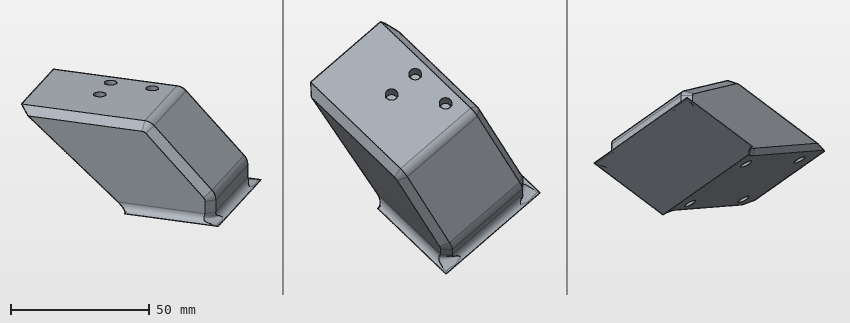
import cadquery as cq
import math

length = 77.67
height = 35.0
base_width = 47.0

slant_angle = 40.0
slope_angle = 45.0
slope_top_x = 49.5
bend_radius = 5.0
edge_chamfer = 3.0
slant_chamfer = 2.0

flare_radius = 3.0

facet_setbacks = (
    (0, 3.0, 3.0),
    (26, 3.5, 3.6),
    (48, 5.9, 3.9),
    (60, 6.6, 3.2),
    (72, 6.2, 1.9),
    (82, 4.1, 0.8),
    (90, 0.1, 0.1),
)
facet_overshoot = 0.2

hole_diameter = 4.5
hole_depth = 5.0
top_hole_x = 23.8
top_hole_y = 12.2
top_hole_pitch_x = 16.0
top_hole_pitch_y = 11.8
slant_hole_columns_y = (-16.1, 12.2)
slant_hole_rows_z = (5.4, 28.8)

slant_rad = math.radians(slant_angle)
wall_x = length - flare_radius
half_base = base_width / 2
half_body = half_base - flare_radius
slope_bottom_z = height - (wall_x - slope_top_x) * math.tan(math.radians(slope_angle))


def slant_x(z):
    """X of the slanted face at height z."""
    return (height - z) / math.tan(slant_rad)


def flare_spread(angle):
    """How far the flare reaches out at an angle down its arc."""
    return flare_radius * (1 - math.cos(angle))


def flare_height(angle):
    """Height of the flare above the base at an angle down its arc."""
    return flare_radius * (1 - math.sin(angle))


def make_block():
    outline = [
        (0, height),
        (slant_x(0), 0),
        (wall_x, 0),
        (wall_x, slope_bottom_z),
        (slope_top_x, height),
    ]
    block = (
        cq.Workplane("XZ", origin=(0, half_body, 0))
        .polyline(outline)
        .close()
        .extrude(2 * half_body)
    )
    for x, z in ((slope_top_x, height), (wall_x, slope_bottom_z)):
        block = block.edges(cq.NearestToPointSelector((x, 0, z))).fillet(bend_radius)
    for side in (-1, 1):
        top_edge_middle = (slope_top_x / 2, side * half_body, height)
        block = block.edges(cq.NearestToPointSelector(top_edge_middle)).chamfer(edge_chamfer)
    return block


def make_flare():
    mid_spread = flare_spread(math.pi / 4)
    mid_height = flare_height(math.pi / 4)
    lengthwise = (
        cq.Workplane("XZ", origin=(0, half_base, 0))
        .moveTo(slant_x(flare_radius), flare_radius)
        .lineTo(slant_x(0), 0)
        .lineTo(length, 0)
        .threePointArc((wall_x + mid_spread, mid_height), (wall_x, flare_radius))
        .close()
        .extrude(base_width)
    )
    crosswise = (
        cq.Workplane("YZ")
        .moveTo(-half_base, 0)
        .lineTo(half_base, 0)
        .threePointArc((half_body + mid_spread, mid_height), (half_body, flare_radius))
        .lineTo(-half_body, flare_radius)
        .threePointArc((-half_body - mid_spread, mid_height), (-half_base, 0))
        .close()
        .extrude(length)
    )
    return lengthwise.intersect(crosswise)


def facet_rails():
    """Both border curves of the +Y end corner facet, carried slightly past the flare."""
    end_points = []
    side_points = []
    for degrees, end_setback, side_setback in facet_setbacks:
        angle = math.radians(degrees)
        corner_x = wall_x + flare_spread(angle)
        corner_y = half_body + flare_spread(angle)
        reach_x = facet_overshoot * side_setback
        reach_y = facet_overshoot * end_setback
        z = flare_height(angle)
        end_points.append(cq.Vector(corner_x + reach_x, corner_y - end_setback - reach_y, z))
        side_points.append(cq.Vector(corner_x - side_setback - reach_x, corner_y + reach_y, z))
    return cq.Edge.makeSpline(end_points), cq.Edge.makeSpline(side_points)


def make_corner_cutter():
    """Solid outside the +Y end corner facet, closed by an upright line clear of the base."""
    end_rail, side_rail = facet_rails()
    outer_x = length + flare_radius
    outer_y = half_base + flare_radius
    outer_rail = cq.Edge.makeLine(
        cq.Vector(outer_x, outer_y, flare_radius),
        cq.Vector(outer_x, outer_y, 0),
    )
    rails = (end_rail, side_rail, outer_rail)
    upper_triangle = cq.Wire.makePolygon([rail.startPoint() for rail in rails], close=True)
    lower_triangle = cq.Wire.makePolygon([rail.endPoint() for rail in rails], close=True)
    faces = [
        cq.Face.makeRuledSurface(end_rail, side_rail),
        cq.Face.makeRuledSurface(side_rail, outer_rail),
        cq.Face.makeRuledSurface(outer_rail, end_rail),
        cq.Face.makeFromWires(upper_triangle),
        cq.Face.makeFromWires(lower_triangle),
    ]
    return cq.Workplane(cq.Solid.makeSolid(cq.Shell.makeShell(faces)))


def drill(part, location, direction):
    """Blind hole that starts on the surface at location and runs along direction."""
    start = cq.Vector(*location)
    axis = cq.Vector(*direction)
    hole = cq.Solid.makeCylinder(hole_diameter / 2, hole_depth, start, axis)
    return part.cut(cq.Workplane(hole))


corner_cutter = make_corner_cutter()
result = make_block().union(make_flare()).cut(corner_cutter).cut(corner_cutter.mirror("XZ"))

slant_edge_middle = (slant_x(height / 2), half_body, height / 2)
result = result.edges(cq.NearestToPointSelector(slant_edge_middle)).chamfer(slant_chamfer)

top_holes = (
    (top_hole_x, top_hole_y),
    (top_hole_x + top_hole_pitch_x, top_hole_y),
    (top_hole_x, top_hole_y - top_hole_pitch_y),
)
for hole_x, hole_y in top_holes:
    result = drill(result, (hole_x, hole_y, height), (0, 0, -1))

slant_inward = (math.sin(slant_rad), 0, math.cos(slant_rad))
for hole_y in slant_hole_columns_y:
    for hole_z in slant_hole_rows_z:
        result = drill(result, (slant_x(hole_z), hole_y, hole_z), slant_inward)